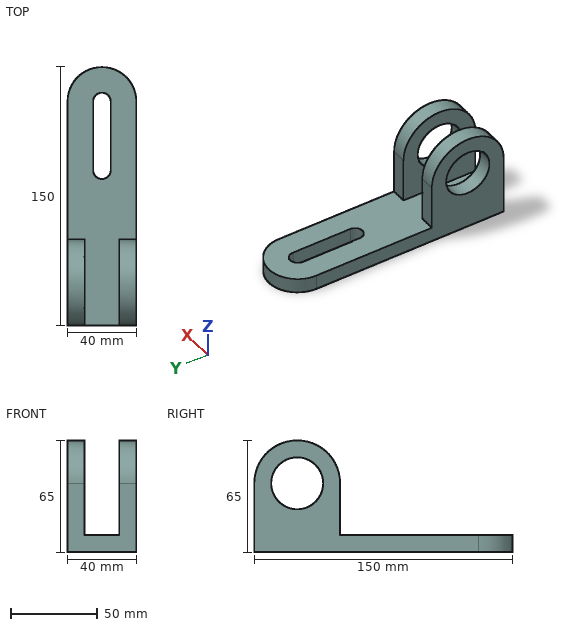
import cadquery as cq

length = 150.0
width = 40.0
height = 65.0

base_thickness = 10.0
end_radius = width / 2
front_y = -length / 2
back_y = length / 2

lug_thickness = 10.0
lug_length = 50.0
lug_radius = lug_length / 2
lug_axis_y = front_y + lug_radius
lug_axis_z = height - lug_radius
bore_diameter = 30.0

slot_width = 10.0
slot_length = 50.0
slot_end_margin = 15.0
slot_center_y = back_y - slot_end_margin - slot_length / 2


def make_base():
    """Flat plate with a rounded end and a slot through it."""
    plate = (
        cq.Workplane("XY")
        .moveTo(-width / 2, front_y)
        .lineTo(width / 2, front_y)
        .lineTo(width / 2, back_y - end_radius)
        .threePointArc((0, back_y), (-width / 2, back_y - end_radius))
        .close()
        .extrude(base_thickness)
    )
    slot = (
        cq.Workplane("XY")
        .center(0, slot_center_y)
        .slot2D(slot_length, slot_width, angle=90)
        .extrude(base_thickness)
    )
    return plate.cut(slot)


def make_lug(start_x):
    """Upright lug from start_x towards +X, with a bore concentric to its round top."""
    lug = (
        cq.Workplane("YZ", origin=(start_x, 0, 0))
        .moveTo(front_y, 0)
        .lineTo(front_y + lug_length, 0)
        .lineTo(front_y + lug_length, lug_axis_z)
        .threePointArc((lug_axis_y, height), (front_y, lug_axis_z))
        .close()
        .extrude(lug_thickness)
    )
    bore = (
        cq.Workplane("YZ", origin=(start_x, lug_axis_y, lug_axis_z))
        .circle(bore_diameter / 2)
        .extrude(lug_thickness)
    )
    return lug.cut(bore)


result = make_base()
for lug_start_x in (-width / 2, width / 2 - lug_thickness):
    result = result.union(make_lug(lug_start_x))